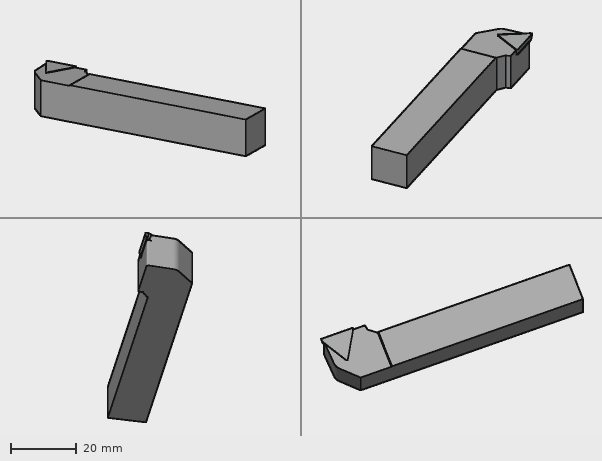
import cadquery as cq
import math

length = 80.0
shank_width = 12.0
height = 12.0

head_width = 15.5
head_drop = 0.2
head_end = 17.4
nose_x = 0.6
nose_radius = 0.7
side_relief = 3.0
corner_chamfer_x = 7.0
corner_radius = 3.0
shoulder_x = 14.2
shoulder_foot = (14.6, 13.9)
neck_x = 17.0

insert_back_y = 16.0
insert_apex_x = 5.1
insert_apex_y = 6.3
insert_thickness = 2.2
insert_clearance = 7.0
insert_radius = 0.3


def make_insert():
    """Equilateral plate with a flat cutting tip at X = 0 and flanks leaning inward below."""
    half_side = (insert_back_y - insert_apex_y) * math.tan(math.radians(30))
    tip_overhang = half_side - insert_apex_x
    tip_flat = tip_overhang * math.tan(math.radians(60))
    apex = (insert_apex_x, insert_apex_y)
    rear_corner = (insert_apex_x + half_side, insert_back_y)
    outline = [
        (0, insert_back_y),
        (0, insert_back_y - tip_flat),
        apex,
        rear_corner,
    ]
    plate = (
        cq.Workplane("XY")
        .workplane(offset=height)
        .polyline(outline)
        .close()
        .extrude(-insert_thickness, taper=insert_clearance)
    )
    mid_height = height - insert_thickness / 2
    for x, y in (apex, rear_corner):
        plate = plate.edges(cq.NearestToPointSelector((x, y, mid_height))).fillet(insert_radius)
    return plate


def make_blank():
    """Shank and cranked head, extruded to full height with the head's corners rounded."""
    lean = math.tan(math.radians(side_relief))
    corner_y = (corner_chamfer_x - nose_x - head_width * lean) / (1 - lean)
    corner_x = corner_chamfer_x - corner_y
    outline = [
        (corner_chamfer_x, 0),
        (length, 0),
        (length, shank_width),
        (neck_x, shank_width),
        shoulder_foot,
        (shoulder_x, head_width),
        (nose_x, head_width),
        (corner_x, corner_y),
    ]
    blank = cq.Workplane("XY").polyline(outline).close().extrude(height)
    mid_height = height / 2
    blank = blank.edges(cq.NearestToPointSelector((corner_x, corner_y, mid_height))).fillet(corner_radius)
    return blank.edges(cq.NearestToPointSelector((nose_x, head_width, mid_height))).fillet(nose_radius)


def make_head_relief():
    """Material above the lowered head, ending in a 45 degree step up to the shank."""
    return (
        cq.Workplane("XZ")
        .polyline([
            (0, height - head_drop),
            (head_end - head_drop, height - head_drop),
            (head_end, height),
            (0, height),
        ])
        .close()
        .extrude(-insert_back_y)
    )


insert = make_insert()
holder = make_blank().cut(make_head_relief()).cut(insert)

result = cq.Compound.makeCompound([holder.solids().val(), insert.solids().val()])